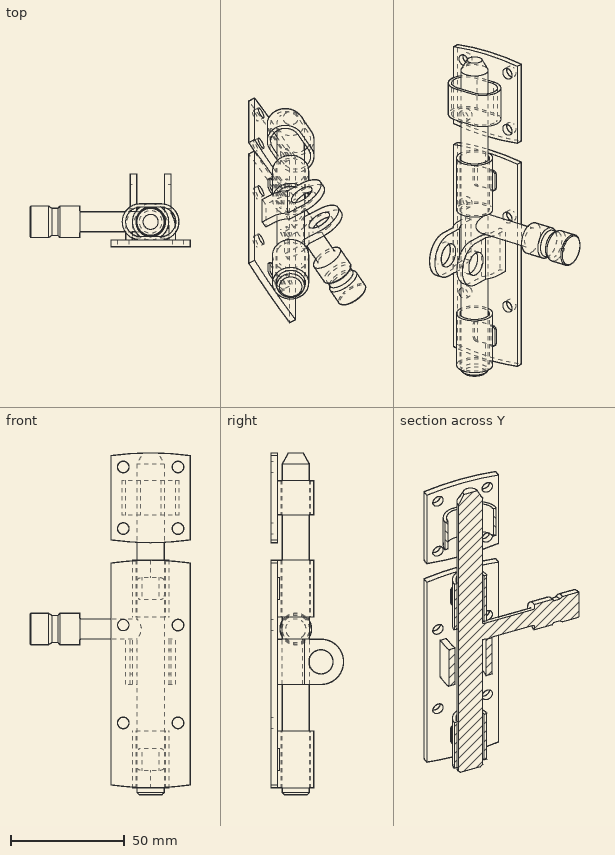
import cadquery as cq
import math


total_width = 70.5
total_height = 150.3

plate_width = 35.0
plate_thickness = 3.0
crown_rise = 1.2
screw_hole_dia = 5.0
screw_hole_x = 12.0

body_plate_bottom = 3.2
body_plate_length = 100.0
body_hole_spacing = 43.0

keeper_plate_length = 39.5
keeper_hole_spacing = 27.0

loop_dia = 16.0
loop_bore_dia = 13.0
body_loop_length = 25.0
keeper_loop_width = 25.0
keeper_loop_length = 15.0

pad_height = 0.9
pad_width = 12.0
pad_length = 9.6
pad_corner_radius = 1.8

lug_thickness = 3.0
lug_inner_x = 6.0
foot_inner_x = 8.0
foot_top_y = -3.0
bend_rise = 6.9
lug_height = 20.0
lug_tip_y = 21.0
lug_eye_dia = 10.5

bolt_dia = 12.0
tip_dia = 6.6
tip_length = 5.0
tail_chamfer = 1.0

handle_z = 72.9
handle_rod_dia = 8.9
knob_dia = 14.0
knob_length = 22.0
knob_chamfer = 0.5
knob_root_fillet = 0.5
groove_dia = 12.0
groove_start = 8.1
groove_width = 5.0
groove_outer_slope = 1.5
groove_inner_slope = 0.8

plate_top_y = -loop_dia / 2
handle_end_x = plate_width / 2 - total_width
body_plate_top = body_plate_bottom + body_plate_length
keeper_plate_bottom = total_height - keeper_plate_length
keeper_plate_mid = total_height - keeper_plate_length / 2
lower_loop_bottom = body_plate_bottom
upper_loop_bottom = body_plate_top - body_loop_length
lug_top = handle_z - handle_rod_dia / 2
lug_mid = lug_top - lug_height / 2


def crowned_plate(bottom, length, hole_spacing):
    """A plate with both ends bowed outwards and a screw hole near each corner."""
    half_width = plate_width / 2
    top = bottom + length
    plate = (
        cq.Workplane("XZ", origin=(0, plate_top_y, 0))
        .moveTo(-half_width, bottom + crown_rise)
        .threePointArc((0, bottom), (half_width, bottom + crown_rise))
        .lineTo(half_width, top - crown_rise)
        .threePointArc((0, top), (-half_width, top - crown_rise))
        .close()
        .extrude(plate_thickness)
    )
    holes = (
        cq.Workplane("XZ", origin=(0, plate_top_y, bottom + length / 2))
        .rect(2 * screw_hole_x, hole_spacing, forConstruction=True)
        .vertices()
        .circle(screw_hole_dia / 2)
        .extrude(plate_thickness)
    )
    return plate.cut(holes)


def body_loop(bottom):
    """A round tube standing on its weld pad."""
    tube = (
        cq.Workplane("XY", origin=(0, 0, bottom))
        .circle(loop_dia / 2)
        .extrude(body_loop_length)
    )
    pad = (
        cq.Workplane("XZ", origin=(0, plate_top_y, bottom + body_loop_length / 2))
        .rect(pad_width, pad_length)
        .extrude(-pad_height)
        .edges("|Y")
        .fillet(pad_corner_radius)
    )
    bore = (
        cq.Workplane("XY", origin=(0, 0, bottom))
        .circle(loop_bore_dia / 2)
        .extrude(body_loop_length)
    )
    return tube.union(pad).cut(bore)


def padlock_lug(side):
    """An eyed strip bent inwards from its foot, on the -X (side = -1) or +X (side = 1) side."""
    foot_outer_x = foot_inner_x + lug_thickness
    lug_outer_x = lug_inner_x + lug_thickness
    bend_in = foot_inner_x - lug_inner_x
    outer_radius = (bend_rise**2 + bend_in**2) / (2 * bend_in)
    inner_radius = outer_radius - lug_thickness
    bend_x = foot_outer_x - outer_radius

    def arc_y(radius, x):
        return foot_top_y + math.sqrt(radius**2 - (x - bend_x) ** 2)

    outer_mid_x = (foot_outer_x + lug_outer_x) / 2
    inner_mid_x = (foot_inner_x + lug_inner_x) / 2
    strip = (
        cq.Workplane("XY", origin=(0, 0, lug_top - lug_height))
        .moveTo(side * foot_inner_x, plate_top_y)
        .lineTo(side * foot_outer_x, plate_top_y)
        .lineTo(side * foot_outer_x, foot_top_y)
        .threePointArc(
            (side * outer_mid_x, arc_y(outer_radius, outer_mid_x)),
            (side * lug_outer_x, arc_y(outer_radius, lug_outer_x)),
        )
        .lineTo(side * lug_outer_x, lug_tip_y)
        .lineTo(side * lug_inner_x, lug_tip_y)
        .lineTo(side * lug_inner_x, arc_y(inner_radius, lug_inner_x))
        .threePointArc(
            (side * inner_mid_x, arc_y(inner_radius, inner_mid_x)),
            (side * foot_inner_x, foot_top_y),
        )
        .close()
        .extrude(lug_height)
    )
    eye_y = lug_tip_y - lug_height / 2
    side_outline = (
        cq.Workplane("YZ", origin=(0, 0, lug_mid))
        .moveTo(plate_top_y, -lug_height / 2)
        .lineTo(eye_y, -lug_height / 2)
        .threePointArc((lug_tip_y, 0), (eye_y, lug_height / 2))
        .lineTo(plate_top_y, lug_height / 2)
        .close()
        .moveTo(eye_y, 0)
        .circle(lug_eye_dia / 2)
        .extrude(foot_outer_x, both=True)
    )
    return strip.intersect(side_outline)


def make_body():
    body = crowned_plate(body_plate_bottom, body_plate_length, body_hole_spacing)
    for bottom in (lower_loop_bottom, upper_loop_bottom):
        body = body.union(body_loop(bottom))
    for side in (-1, 1):
        body = body.union(padlock_lug(side))
    return body


def make_keeper():
    """The strike plate with a wide, flat-sided loop that catches the bolt tip."""
    wall = (loop_dia - loop_bore_dia) / 2
    loop = (
        cq.Workplane("XY", origin=(0, 0, keeper_plate_mid - keeper_loop_length / 2))
        .slot2D(keeper_loop_width, loop_dia)
        .slot2D(keeper_loop_width - 2 * wall, loop_bore_dia)
        .extrude(keeper_loop_length)
    )
    plate = crowned_plate(keeper_plate_bottom, keeper_plate_length, keeper_hole_spacing)
    return plate.union(loop)


def make_bolt():
    """The round bar with its tapered tip and the grooved handle knob."""
    radius = bolt_dia / 2
    bar = (
        cq.Workplane("XZ")
        .lineTo(radius - tail_chamfer, 0)
        .lineTo(radius, tail_chamfer)
        .lineTo(radius, total_height - tip_length)
        .lineTo(tip_dia / 2, total_height)
        .lineTo(0, total_height)
        .close()
        .revolve()
    )
    knob_radius = knob_dia / 2
    rod_radius = handle_rod_dia / 2
    groove_radius = groove_dia / 2
    groove_x = handle_end_x + groove_start
    groove_end_x = groove_x + groove_width
    knob_inner_x = handle_end_x + knob_length
    handle = (
        cq.Workplane("XZ", origin=(0, 0, handle_z))
        .moveTo(handle_end_x, 0)
        .lineTo(handle_end_x, knob_radius - knob_chamfer)
        .lineTo(handle_end_x + knob_chamfer, knob_radius)
        .lineTo(groove_x, knob_radius)
        .lineTo(groove_x + groove_outer_slope, groove_radius)
        .lineTo(groove_end_x - groove_inner_slope, groove_radius)
        .lineTo(groove_end_x, knob_radius)
        .lineTo(knob_inner_x, knob_radius)
        .lineTo(knob_inner_x, rod_radius + knob_root_fillet)
        .radiusArc((knob_inner_x + knob_root_fillet, rod_radius), -knob_root_fillet)
        .lineTo(0, rod_radius)
        .lineTo(0, 0)
        .close()
        .revolve(360, (0, 0, 0), (1, 0, 0))
    )
    return bar.union(handle)


body = make_body()
keeper = make_keeper()
bolt = make_bolt()

result = cq.Compound.makeCompound([body.val(), keeper.val(), bolt.val()])